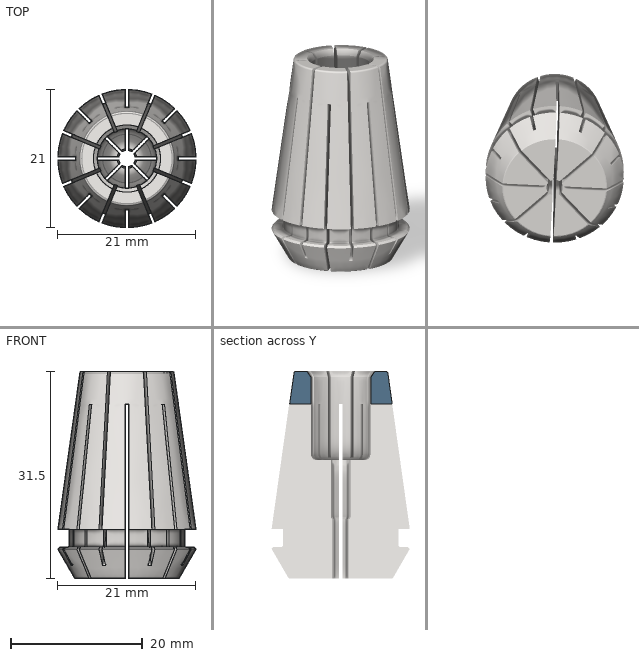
import cadquery as cq
import math

height = 31.5
rim_radius = 10.5
nose_radius = 7.9
nose_edge_chamfer = 0.1
nose_height = 4.5
rim_chamfer = 0.3
neck_radius = 8.8
neck_fillet = 0.2
neck_top = 7.5
taper_angle = math.radians(8)
tail_edge_fillet = 0.3

grip_radius = 1.25
relief_radius = 1.5
relief_floor = 9.0
relief_fillet = 0.4
bore_radius = 4.5
bore_floor = 18.0
bore_fillet = 0.8
bore_chamfer_radius = 5.1
bore_chamfer_depth = 0.9

slot_width = 0.5
slots_per_end = 8
slot_pitch = 360 / slots_per_end
nose_slot_top = 26.5
tail_slot_exit = 2.0
tail_slot_floor_angle = math.radians(16)


def make_blank():
    """Solid of revolution of the outer profile."""
    nose_top = nose_height + rim_chamfer
    tail_radius = rim_radius - (height - neck_top) * math.tan(taper_angle)
    profile = (
        cq.Workplane("XZ")
        .lineTo(nose_radius, 0)
        .lineTo(rim_radius, nose_height)
        .lineTo(rim_radius - rim_chamfer, nose_top)
        .lineTo(neck_radius + neck_fillet, nose_top)
        .radiusArc((neck_radius, nose_top + neck_fillet), neck_fillet)
        .lineTo(neck_radius, neck_top)
        .lineTo(rim_radius, neck_top)
        .lineTo(tail_radius, height)
        .lineTo(0, height)
        .close()
    )
    blank = profile.revolve(360, (0, 0, 0), (0, 1, 0))
    blank = blank.faces(">Z").edges().fillet(tail_edge_fillet)
    return blank.faces("<Z").edges().chamfer(nose_edge_chamfer)


def rounded_floor_cutter(radius, floor, floor_fillet):
    """Cylinder from floor to the top face, with a rounded bottom edge."""
    cylinder = cq.Workplane("XY").workplane(offset=floor).circle(radius).extrude(height - floor)
    return cylinder.faces("<Z").edges().fillet(floor_fillet)


def make_bore():
    """Stepped axial bore with a chamfered mouth."""
    grip = cq.Workplane("XY").circle(grip_radius).extrude(height)
    relief = rounded_floor_cutter(relief_radius, relief_floor, relief_fillet)
    bore = rounded_floor_cutter(bore_radius, bore_floor, bore_fillet)
    mouth = (
        cq.Workplane("XY")
        .workplane(offset=height - bore_chamfer_depth)
        .circle(bore_radius)
        .workplane(offset=bore_chamfer_depth)
        .circle(bore_chamfer_radius)
        .loft()
    )
    return grip.union(relief).union(bore).union(mouth)


def make_nose_slot():
    """Radial slot through the wall, from the bottom face up."""
    return cq.Workplane("XY").box(rim_radius, slot_width, nose_slot_top, centered=(False, True, False))


def make_tail_slot():
    """Radial slot open to the top, with a floor leaning out to the nose cone."""
    cone_run = (rim_radius - nose_radius) / nose_height
    exit_radius = nose_radius + tail_slot_exit * cone_run
    lean = math.tan(tail_slot_floor_angle)
    floor_bottom_radius = exit_radius + tail_slot_exit * lean
    floor_axis_height = floor_bottom_radius / lean
    return (
        cq.Workplane("XZ")
        .moveTo(exit_radius, tail_slot_exit)
        .lineTo(rim_radius, tail_slot_exit)
        .lineTo(rim_radius, height)
        .lineTo(0, height)
        .lineTo(0, floor_axis_height)
        .close()
        .extrude(slot_width / 2, both=True)
    )


def make_collet():
    """Blank with its bore and the alternating nose and tail slots."""
    body = make_blank().cut(make_bore())
    nose_slot = make_nose_slot()
    tail_slot = make_tail_slot()
    axis_start = (0, 0, 0)
    axis_end = (0, 0, 1)
    for index in range(slots_per_end):
        nose_angle = index * slot_pitch
        tail_angle = nose_angle + slot_pitch / 2
        body = body.cut(nose_slot.rotate(axis_start, axis_end, nose_angle))
        body = body.cut(tail_slot.rotate(axis_start, axis_end, tail_angle))
    return body


result = make_collet()